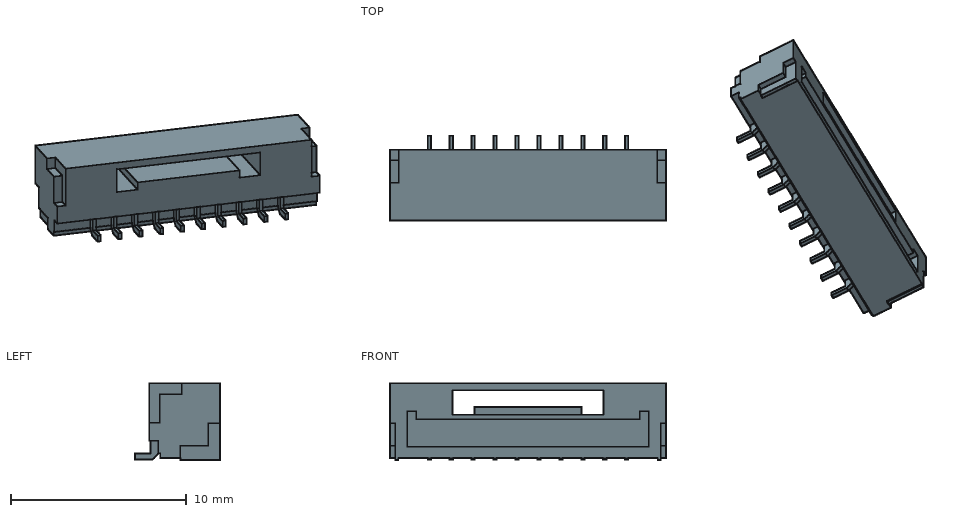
import cadquery as cq


length = 15.75
depth = 4.05
top_z = 4.4
bottom_z = 0.13

rear_notch_y = 3.53
rear_notch_z = 1.1
rear_step_y = 3.42
rear_step_z = 0.4

pocket_width = 13.73
pocket_depth = 3.0
pocket_floor_z = 0.77
pocket_ceiling_z = 2.33
channel_width = 0.49
channel_top_z = 2.8

window_width = 8.6
window_floor_z = 2.6
window_ceiling_z = 3.98
tongue_width = 6.11
tongue_height = 0.44
tongue_setback = 0.82

upper_recess = 0.5
upper_arm_y = 2.17
upper_arm_z = 3.75
upper_leg_y = 3.45
upper_leg_z = 2.14

lower_recess = 0.3
lower_arm_y = 2.27
lower_arm_z = 0.82
lower_leg_y = 0.66
lower_leg_z = 2.1
tab_thickness = 0.19

contact_count = 10
contact_row_span = 11.25
contact_pitch = contact_row_span / (contact_count - 1)
contact_width = 0.2
contact_tip_y = 4.85
contact_rear_y = 3.97
contact_bottom_z = 0.03
contact_bend = 0.33
contact_foot_top_z = 0.4


def slab(width, y_start, y_end, z_start, z_end, center_x=0.0):
    """Box centred on center_x, spanning the given Y and Z ranges."""
    box = cq.Workplane("XY").box(width, y_end - y_start, z_end - z_start, centered=(True, False, False))
    return box.translate((center_x, y_start, z_start))


def profile_slab(points, width, center_x):
    """YZ outline extruded along X to the given width about center_x."""
    outline = cq.Workplane("YZ").polyline(points).close()
    return outline.extrude(width / 2, both=True).translate((center_x, 0, 0))


def make_housing():
    outline = [
        (0, bottom_z),
        (rear_step_y, bottom_z),
        (rear_step_y, rear_step_z),
        (rear_notch_y, rear_step_z),
        (rear_notch_y, rear_notch_z),
        (depth, rear_notch_z),
        (depth, top_z),
        (0, top_z),
    ]
    return profile_slab(outline, length, 0)


def make_pocket():
    pocket = slab(pocket_width, 0, pocket_depth, pocket_floor_z, pocket_ceiling_z)
    channel_x = (pocket_width - channel_width) / 2
    for side in (-1, 1):
        channel = slab(channel_width, 0, pocket_depth, pocket_floor_z, channel_top_z, side * channel_x)
        pocket = pocket.union(channel)
    return pocket


def make_window():
    window = slab(window_width, 0, depth, window_floor_z, window_ceiling_z)
    tongue = slab(tongue_width, tongue_setback, depth, window_floor_z, window_floor_z + tongue_height)
    return window.cut(tongue)


def make_upper_recess(side):
    outline = [
        (upper_arm_y, top_z),
        (upper_arm_y, upper_arm_z),
        (upper_leg_y, upper_arm_z),
        (upper_leg_y, upper_leg_z),
        (depth, upper_leg_z),
        (depth, top_z),
    ]
    return profile_slab(outline, upper_recess, side * (length - upper_recess) / 2)


def lower_corner(base_z, width, center_x):
    """L-shaped plate at the lower front corner, standing on base_z."""
    outline = [
        (0, base_z),
        (lower_arm_y, base_z),
        (lower_arm_y, lower_arm_z),
        (lower_leg_y, lower_arm_z),
        (lower_leg_y, lower_leg_z),
        (0, lower_leg_z),
    ]
    return profile_slab(outline, width, center_x)


def make_contact(center_x):
    outline = [
        (rear_notch_y, rear_notch_z),
        (rear_notch_y, contact_bottom_z + contact_bend),
        (rear_notch_y + contact_bend, contact_bottom_z),
        (contact_tip_y, contact_bottom_z),
        (contact_tip_y, contact_foot_top_z),
        (contact_rear_y, contact_foot_top_z),
        (contact_rear_y, rear_notch_z),
    ]
    return profile_slab(outline, contact_width, center_x)


result = make_housing().cut(make_pocket()).cut(make_window())

for side in (-1, 1):
    recess_x = side * (length - lower_recess) / 2
    tab_x = side * (length / 2 - lower_recess - tab_thickness / 2)
    result = result.cut(make_upper_recess(side))
    result = result.cut(lower_corner(bottom_z, lower_recess, recess_x))
    result = result.union(lower_corner(0, tab_thickness, tab_x))

for index in range(contact_count):
    contact_x = index * contact_pitch - contact_row_span / 2
    result = result.union(make_contact(contact_x))